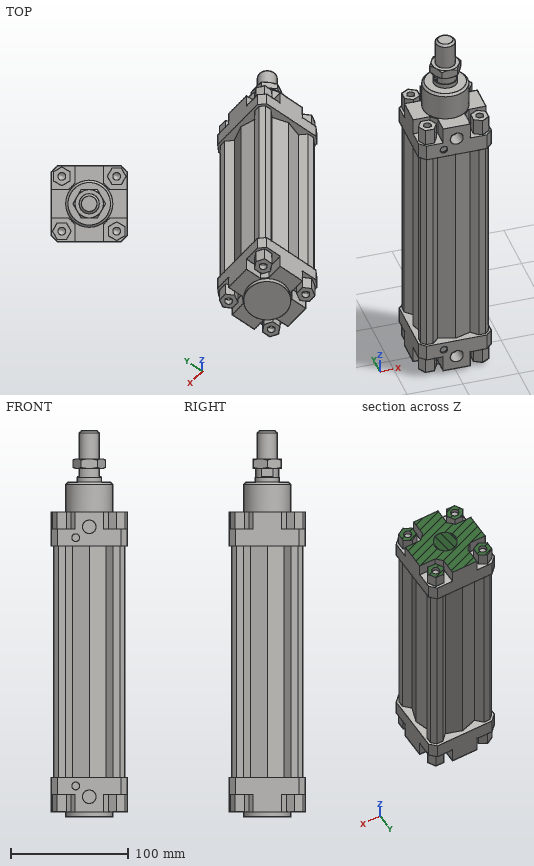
import cadquery as cq
import math

TOTAL_HEIGHT = 329.0
REAR_BOSS_HEIGHT = 4.3
CAP_HEIGHT = 29.3
CAP_BASE_HEIGHT = 14.5
FRONT_CAP_TOP = 260.0
BUSHING_HEIGHT = 25.3
COLLAR_HEIGHT = 4.0

CAP_WIDTH = 65.0
CAP_CORNER_CHAMFER = 5.5
CROSS_ARM_WIDTH = 24.5
CROSS_CORNER_CHAMFER = 5.3
BOSS_RADIUS = 20.0
BUSHING_CHAMFER = 2.0
COLLAR_RADIUS = 10.5

TIE_ROD_OFFSET = 23.5
TIE_NUT_FLATS = 13.8
SOCKET_DIAMETER = 6.5
SOCKET_DEPTH = 6.5
DRILL_POINT_ANGLE = 118.0

PORT_DIAMETER = 11.5
PORT_DEPTH = 13.0
PORT_FROM_CAP_END = 12.8
SCREW_DIAMETER = 6.5
SCREW_DEPTH = 1.5
SCREW_X = -11.5
SCREW_FROM_CAP_END = 22.0

BARREL_HALF_WIDTH = 30.3
BARREL_CORNER_CHAMFER = 4.0
RIB_INNER_EDGE = 20.5
VALLEY_OFFSET = 14.5
VALLEY_HALF_WIDTH = 24.5
RIDGE_HALF_WIDTH = 29.0

ROD_RADIUS = 10.0
THREAD_RADIUS = 8.5
TIP_CHAMFER = 2.0
LOCK_NUT_BOTTOM = 296.8
LOCK_NUT_HEIGHT = 8.2
LOCK_NUT_FLATS = 24.0
LOCK_NUT_CHAMFER_ANGLE = 30.0
FLATS_WIDTH = 17.0
FLATS_BOTTOM = 290.2

FRONT_CAP_BOTTOM = FRONT_CAP_TOP - CAP_HEIGHT
REAR_CAP_TOP = REAR_BOSS_HEIGHT + CAP_HEIGHT
CROSS_HEIGHT = CAP_HEIGHT - CAP_BASE_HEIGHT
CROSS_CORE_DIAGONAL = 2 * (CROSS_ARM_WIDTH + CROSS_CORNER_CHAMFER)
BARREL_LENGTH = FRONT_CAP_BOTTOM - REAR_CAP_TOP
BUSHING_TOP = FRONT_CAP_TOP + BUSHING_HEIGHT
COLLAR_TOP = BUSHING_TOP + COLLAR_HEIGHT
TIE_NUT_CORNERS = TIE_NUT_FLATS / math.cos(math.pi / 6)
LOCK_NUT_CORNERS = LOCK_NUT_FLATS / math.cos(math.pi / 6)


def cylinder(radius, bottom, height):
    return cq.Workplane("XY").workplane(offset=bottom).circle(radius).extrude(height)


def front_bore(x, z, diameter, depth):
    """Blind bore going in along +Y from the -Y side of a cap."""
    side = cq.Workplane("XZ", origin=(x, -CAP_WIDTH / 2, z))
    return side.circle(diameter / 2).extrude(-depth)


def tie_nut_socket():
    """Drilled hole with a conical end, opening at CAP_HEIGHT on the Z axis."""
    radius = SOCKET_DIAMETER / 2
    point_depth = radius / math.tan(math.radians(DRILL_POINT_ANGLE / 2))
    wall_end = CAP_HEIGHT - SOCKET_DEPTH
    profile = (
        cq.Workplane("XZ")
        .moveTo(0, CAP_HEIGHT)
        .lineTo(radius, CAP_HEIGHT)
        .lineTo(radius, wall_end)
        .lineTo(0, wall_end - point_depth)
        .close()
    )
    return profile.revolve(360, (0, 0, 0), (0, 1, 0))


def end_cap():
    """Cap with its barrel side at Z = 0 and its outer end at CAP_HEIGHT."""
    cap = (
        cq.Workplane("XY")
        .rect(CAP_WIDTH, CAP_WIDTH)
        .extrude(CAP_BASE_HEIGHT)
        .edges("|Z")
        .chamfer(CAP_CORNER_CHAMFER)
    )
    outer_step = cq.Workplane("XY").workplane(offset=CAP_BASE_HEIGHT)
    cap = cap.union(outer_step.rect(CAP_WIDTH, CROSS_ARM_WIDTH).extrude(CROSS_HEIGHT))
    cap = cap.union(outer_step.rect(CROSS_ARM_WIDTH, CAP_WIDTH).extrude(CROSS_HEIGHT))
    cap = cap.union(outer_step.polygon(4, CROSS_CORE_DIAGONAL).extrude(CROSS_HEIGHT))

    nut = outer_step.polygon(6, TIE_NUT_CORNERS).extrude(CROSS_HEIGHT)
    socket = tie_nut_socket()
    first_corner = (-TIE_ROD_OFFSET, -TIE_ROD_OFFSET, 0)
    for quarter in range(4):
        turn = 90 * quarter
        cap = cap.union(nut.translate(first_corner).rotate((0, 0, 0), (0, 0, 1), turn))
        cap = cap.cut(socket.translate(first_corner).rotate((0, 0, 0), (0, 0, 1), turn))
    return cap


def barrel():
    """Extruded tube body with a rib at each corner and a ridge along each side."""
    rib_end = BARREL_HALF_WIDTH - BARREL_CORNER_CHAMFER
    side = [
        (0, -RIDGE_HALF_WIDTH),
        (VALLEY_OFFSET, -VALLEY_HALF_WIDTH),
        (RIB_INNER_EDGE, -BARREL_HALF_WIDTH),
        (rib_end, -BARREL_HALF_WIDTH),
        (BARREL_HALF_WIDTH, -rib_end),
        (BARREL_HALF_WIDTH, -RIB_INNER_EDGE),
        (VALLEY_HALF_WIDTH, -VALLEY_OFFSET),
    ]
    outline = []
    for _ in range(4):
        outline += side
        side = [(-y, x) for x, y in side]
    section = cq.Workplane("XY").workplane(offset=REAR_CAP_TOP).polyline(outline).close()
    return section.extrude(BARREL_LENGTH)


def make_housing():
    """Barrel, both end caps, rear boss, front bushing and its collar."""
    cap = end_cap()
    front_cap = cap.translate((0, 0, FRONT_CAP_BOTTOM))
    rear_cap = cap.mirror("XY").translate((0, 0, REAR_CAP_TOP))
    bushing = cylinder(BOSS_RADIUS, FRONT_CAP_TOP, BUSHING_HEIGHT).faces(">Z").chamfer(BUSHING_CHAMFER)
    housing = (
        barrel()
        .union(front_cap)
        .union(rear_cap)
        .union(cylinder(BOSS_RADIUS, 0, REAR_BOSS_HEIGHT))
        .union(bushing)
        .union(cylinder(COLLAR_RADIUS, BUSHING_TOP, COLLAR_HEIGHT))
    )
    for cap_end, inward in ((FRONT_CAP_TOP, -1), (REAR_BOSS_HEIGHT, 1)):
        port_z = cap_end + inward * PORT_FROM_CAP_END
        screw_z = cap_end + inward * SCREW_FROM_CAP_END
        housing = housing.cut(front_bore(0, port_z, PORT_DIAMETER, PORT_DEPTH))
        housing = housing.cut(front_bore(SCREW_X, screw_z, SCREW_DIAMETER, SCREW_DEPTH))
    return housing.cut(cylinder(ROD_RADIUS, FRONT_CAP_BOTTOM, COLLAR_TOP - FRONT_CAP_BOTTOM))


def make_piston_rod():
    """Rod with two wrench flats below the lock nut and a threaded end above."""
    flats_height = LOCK_NUT_BOTTOM - FLATS_BOTTOM
    round_part = cylinder(ROD_RADIUS, FRONT_CAP_BOTTOM, FLATS_BOTTOM - FRONT_CAP_BOTTOM)
    flats_block = (
        cq.Workplane("XY")
        .workplane(offset=FLATS_BOTTOM)
        .rect(FLATS_WIDTH, 2 * ROD_RADIUS)
        .extrude(flats_height)
    )
    flats_part = cylinder(ROD_RADIUS, FLATS_BOTTOM, flats_height).intersect(flats_block)
    thread = cylinder(THREAD_RADIUS, LOCK_NUT_BOTTOM, TOTAL_HEIGHT - LOCK_NUT_BOTTOM)
    return round_part.union(flats_part).union(thread.faces(">Z").chamfer(TIP_CHAMFER))


def make_lock_nut():
    """Hexagon nut with its corners turned down at both ends."""
    hexagon = (
        cq.Workplane("XY")
        .workplane(offset=LOCK_NUT_BOTTOM)
        .polygon(6, LOCK_NUT_CORNERS)
        .extrude(LOCK_NUT_HEIGHT)
    )
    corner_overhang = (LOCK_NUT_CORNERS - LOCK_NUT_FLATS) / 2
    corner_drop = corner_overhang * math.tan(math.radians(LOCK_NUT_CHAMFER_ANGLE))
    turned = (
        cylinder(LOCK_NUT_CORNERS / 2, LOCK_NUT_BOTTOM, LOCK_NUT_HEIGHT)
        .faces("<Z or >Z")
        .chamfer(corner_drop, corner_overhang)
    )
    bore = cylinder(THREAD_RADIUS, LOCK_NUT_BOTTOM, LOCK_NUT_HEIGHT)
    return hexagon.intersect(turned).cut(bore)


housing = make_housing()
piston_rod = make_piston_rod()
lock_nut = make_lock_nut()

result = cq.Compound.makeCompound([housing.val(), piston_rod.val(), lock_nut.val()])